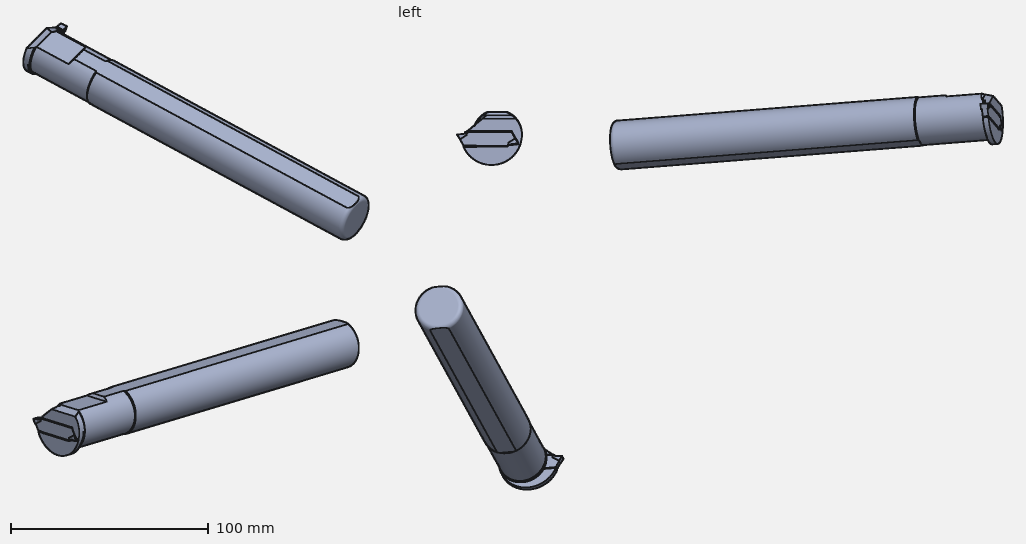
import cadquery as cq

LENGTH = 200.0
SHANK_RADIUS = 25.0 / 2
FLAT_HEIGHT = 23.0 / 2
REAR_FILLET = 2.4
NECK_RADIUS = 12.2
NECK_END = 40.0
EDGE_BEVEL = 0.5

INSERT_CENTRE = (5.0, -2.2)
TIP_REACH = 33.0
TIP_THICKNESS = 3.8
TIP_STEP = 0.4
FACE_X = TIP_STEP
WEB_BACK = TIP_THICKNESS - TIP_STEP
SEAT_GAP = 0.5

TIP = (TIP_REACH - SHANK_RADIUS - INSERT_CENTRE[0], -INSERT_CENTRE[1])
TIP_ROOT = (10.4, 2.8)
WEB_TOP = (10.0, 3.4)
TIP_HEEL = (14.0, -0.2)
TIP_INNER = (10.4, 2.0)
WEB_FOOT = (12.2, -3.4)

LOBE_RADIUS = 31.0 / 2
LOBE_OFFSET = LOBE_RADIUS - SHANK_RADIUS
LOBE_BACK = WEB_BACK
COLLAR_BACK = 4.2

RELIEF_HEIGHT = 9.8
RELIEF_END = 25.0
RELIEF_RUNOUT = 1.2
NOSE_HEIGHT = 7.8
NOSE_LENGTH = 5.0

CLEARANCE_LOW = (15.0, 1.9)
CLEARANCE_HIGH = (5.4, RELIEF_HEIGHT)
CLEARANCE_DEPTH = 5.2
CLEARANCE_RUNOUT = 1.2

OVERSIZE = 40.0


def yz_prism(points, start, end):
    """Extrude a closed (Y, Z) outline along X."""
    return cq.Workplane("YZ", origin=(start, 0, 0)).polyline(points).close().extrude(end - start)


def disc(radius, start, end):
    return cq.Workplane("YZ", origin=(start, 0, 0)).circle(radius).extrude(end - start)


def make_shank():
    shank = disc(SHANK_RADIUS, NECK_END, LENGTH)
    shank = shank.faces(">X").edges().fillet(REAR_FILLET)
    shank = shank.faces("<X").edges().chamfer(EDGE_BEVEL, SHANK_RADIUS - NECK_RADIUS)
    lower_flat = cq.Workplane("XY").box(
        LENGTH, 2 * OVERSIZE, OVERSIZE, centered=(False, True, False)
    ).translate((NECK_END, 0, -FLAT_HEIGHT - OVERSIZE))
    return shank.cut(lower_flat)


def make_head():
    """Collar with a bevelled back edge, and the lobe below the axis."""
    collar = (
        cq.Workplane("XY")
        .moveTo(FACE_X, 0)
        .lineTo(FACE_X, SHANK_RADIUS)
        .lineTo(COLLAR_BACK, SHANK_RADIUS)
        .lineTo(COLLAR_BACK + EDGE_BEVEL, NECK_RADIUS)
        .lineTo(COLLAR_BACK + EDGE_BEVEL, 0)
        .close()
        .revolve(360, (0, 0, 0), (1, 0, 0))
    )
    lobe = (
        cq.Workplane("YZ", origin=(FACE_X, 0, 0))
        .moveTo(LOBE_OFFSET - LOBE_RADIUS, 0)
        .threePointArc((LOBE_OFFSET, -LOBE_RADIUS), (LOBE_OFFSET + LOBE_RADIUS, 0))
        .lineTo(*CLEARANCE_LOW)
        .lineTo(*CLEARANCE_HIGH)
        .lineTo(0, 0)
        .close()
        .extrude(LOBE_BACK - FACE_X)
    )
    return collar.union(lobe)


def make_relief():
    """Material removed above the nose slope, the relief flat and the upper clamping flat."""
    profile = [
        (0, NOSE_HEIGHT),
        (NOSE_LENGTH, RELIEF_HEIGHT),
        (RELIEF_END, RELIEF_HEIGHT),
        (RELIEF_END + RELIEF_RUNOUT, FLAT_HEIGHT),
        (LENGTH, FLAT_HEIGHT),
        (LENGTH, OVERSIZE),
        (0, OVERSIZE),
    ]
    return cq.Workplane("XZ").polyline(profile).close().extrude(OVERSIZE, both=True)


def make_clearance():
    """Wedge removed beside the tip, closed at the back by a ramp."""
    run = CLEARANCE_LOW[0] - CLEARANCE_HIGH[0]
    rise = CLEARANCE_HIGH[1] - CLEARANCE_LOW[1]
    section_plane = cq.Plane(
        origin=(0, *CLEARANCE_LOW), xDir=(1, 0, 0), normal=(0, -run, rise)
    )
    ramp_top = CLEARANCE_DEPTH + CLEARANCE_RUNOUT
    return (
        cq.Workplane(section_plane)
        .polyline([(0, 0), (CLEARANCE_DEPTH, 0), (ramp_top, CLEARANCE_RUNOUT),
                   (ramp_top, OVERSIZE), (0, OVERSIZE)])
        .close()
        .extrude(OVERSIZE)
    )


def insert_outline(points, turn):
    """Place (Y, Z) points about the insert centre; turn is 1, or -1 for half a turn."""
    return [(INSERT_CENTRE[0] + turn * y, INSERT_CENTRE[1] + turn * z) for y, z in points]


def make_insert():
    half_web = [WEB_FOOT, TIP_HEEL, TIP, TIP_ROOT, WEB_TOP]
    web = insert_outline(half_web, 1) + insert_outline(half_web, -1)
    insert = yz_prism(web, FACE_X, WEB_BACK)
    tip = [TIP, TIP_ROOT, TIP_INNER, TIP_HEEL]
    for turn in (1, -1):
        insert = insert.union(yz_prism(insert_outline(tip, turn), 0, TIP_THICKNESS))
    return insert


def make_seat(insert):
    """Recess for the insert, with a gap above and below it."""
    raised = insert.translate((0, 0, SEAT_GAP))
    lowered = insert.translate((0, 0, -SEAT_GAP))
    return insert.union(raised).union(lowered)


insert = make_insert()
holder = make_shank().union(disc(NECK_RADIUS, FACE_X, NECK_END)).union(make_head())
holder = holder.cut(make_relief()).cut(make_clearance()).cut(make_seat(insert))

result = cq.Compound.makeCompound([holder.solids().val(), insert.solids().val()])